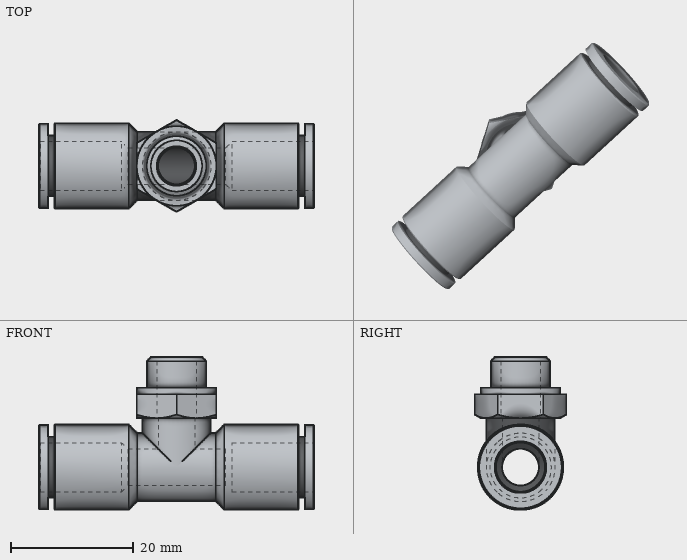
import cadquery as cq
import math

run_length = 45.0
body_dia = 11.2
sleeve_dia = 14.0
collar_dia = 13.8
neck_dia = 10.0
collar_width = 1.55
neck_width = 1.0
sleeve_length = 12.15
edge_chamfer = 0.2

bore_dia = 6.0
socket_dia = 8.0
socket_mouth_chamfer = 0.22
socket_depth = 13.5

branch_top = 18.0
spigot_dia = 9.7
spigot_height = 5.0
spigot_chamfer = 0.68
flange_dia = 13.0
flange_height = 1.1
hex_sides = 6
hex_height = 3.9
hex_chamfer_angle = 30.0
spigot_bore_dia = 6.5

flange_top = branch_top - spigot_height
hex_top = flange_top - flange_height
hex_bottom = hex_top - hex_height
hex_corner_dia = flange_dia / math.cos(math.pi / hex_sides)


def vertical_cylinder(diameter, bottom, top):
    return cq.Workplane("XY").workplane(offset=bottom).circle(diameter / 2).extrude(top - bottom)


def ring_along_x(diameter, start, end):
    return cq.Workplane("YZ").workplane(offset=start).circle(diameter / 2).extrude(end - start)


def make_run_end():
    """Sleeve, neck and release collar on the -X end."""
    end = -run_length / 2
    collar_inner = end + collar_width
    sleeve_start = collar_inner + neck_width
    sleeve_end = sleeve_start + sleeve_length
    taper = (sleeve_dia - body_dia) / 2

    collar = ring_along_x(collar_dia, end, collar_inner).faces("<X").edges().chamfer(edge_chamfer)
    neck = ring_along_x(neck_dia, collar_inner, sleeve_start)
    sleeve = ring_along_x(sleeve_dia, sleeve_start, sleeve_end + taper)
    sleeve = sleeve.faces("<X").chamfer(edge_chamfer).faces(">X").chamfer(taper)
    return collar.union(neck).union(sleeve)


def make_socket():
    """Cutter for the -X tube socket: flared mouth, straight wall, 45 degree cone into the bore."""
    mouth = -run_length / 2
    socket_radius = socket_dia / 2
    bore_radius = bore_dia / 2
    cone_start = mouth + socket_depth
    cone_end = cone_start + socket_radius - bore_radius
    profile = [
        (mouth, 0),
        (mouth, socket_radius + socket_mouth_chamfer),
        (mouth + socket_mouth_chamfer, socket_radius),
        (cone_start, socket_radius),
        (cone_end, bore_radius),
        (cone_end, 0),
    ]
    return cq.Workplane("XZ").polyline(profile).close().revolve(360, (0, 0, 0), (1, 0, 0))


def make_hexagon():
    """Hexagon with corners on Y, its lower corners bevelled by a cone."""
    corner_radius = hex_corner_dia / 2
    flat_radius = flange_dia / 2
    bevel_height = (corner_radius - flat_radius) * math.tan(math.radians(hex_chamfer_angle))
    hexagon = (
        cq.Workplane("XY").workplane(offset=hex_bottom)
        .transformed(rotate=(0, 0, 90))
        .polygon(hex_sides, hex_corner_dia)
        .extrude(hex_height)
    )
    envelope_profile = [
        (0, hex_bottom),
        (flat_radius, hex_bottom),
        (corner_radius, hex_bottom + bevel_height),
        (corner_radius, hex_top),
        (0, hex_top),
    ]
    envelope = cq.Workplane("XZ").polyline(envelope_profile).close().revolve(360, (0, 0, 0), (0, 1, 0))
    return hexagon.intersect(envelope)


def both_ends(shape):
    return shape.union(shape.mirror("YZ"))


half_length = run_length / 2
body_half_length = half_length - collar_width - neck_width - sleeve_length
branch_stem = vertical_cylinder(body_dia, 0, hex_bottom)
body = ring_along_x(body_dia, -body_half_length, body_half_length).union(branch_stem)
body = body.union(both_ends(make_run_end()))
body = body.union(make_hexagon())
body = body.union(vertical_cylinder(flange_dia, hex_top, flange_top))
spigot = vertical_cylinder(spigot_dia, flange_top, branch_top).faces(">Z").chamfer(spigot_chamfer)
body = body.union(spigot)

body = body.cut(ring_along_x(bore_dia, -half_length, half_length))
body = body.cut(both_ends(make_socket()))
body = body.cut(vertical_cylinder(bore_dia, 0, branch_top))
result = body.cut(vertical_cylinder(spigot_bore_dia, hex_bottom, branch_top))